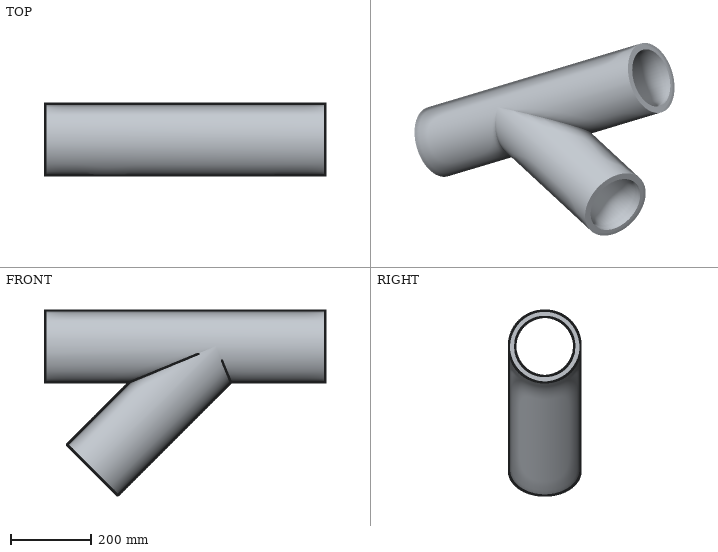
import cadquery as cq

outer_diameter = 180.0
bore_diameter = 147.0
run_length = 700.0
junction_offset = 427.0
branch_length = 437.5
branch_angle = 45.0

run_start = cq.Plane(origin=(-junction_offset, 0, 0), xDir=(0, 1, 0), normal=(1, 0, 0))
branch_start = cq.Plane.XY().rotated((0, 180 + branch_angle, 0))


def rod(start_plane, diameter, length):
    """Solid cylinder extruded along the normal of its starting plane."""
    return cq.Workplane(start_plane).circle(diameter / 2).extrude(length)


def wye(diameter):
    """Straight run joined by the slanted branch, both of one diameter."""
    run = rod(run_start, diameter, run_length)
    branch = rod(branch_start, diameter, branch_length)
    return run.union(branch)


result = wye(outer_diameter).cut(wye(bore_diameter))